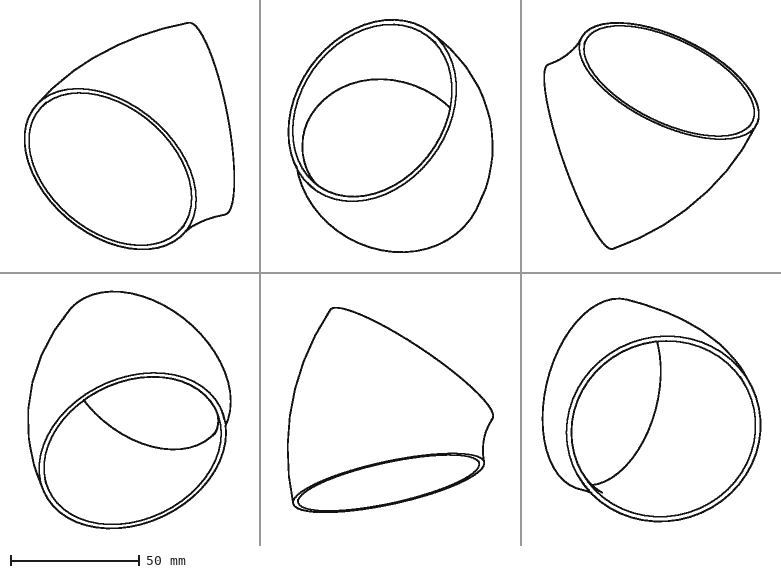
import cadquery as cq
import math

OVERALL_LENGTH = 83.4
BEND_ANGLE = 45.0
BEND_RADIUS = 63.05
WALL = 2.0

cos_bend = math.cos(math.radians(BEND_ANGLE))
outer_radius = (OVERALL_LENGTH - BEND_RADIUS * (1 - cos_bend)) / (1 + cos_bend)
inner_radius = outer_radius - WALL

ring = cq.Workplane("XZ").circle(outer_radius).circle(inner_radius)
result = ring.revolve(BEND_ANGLE, (BEND_RADIUS, 0, 0), (BEND_RADIUS, -1, 0))